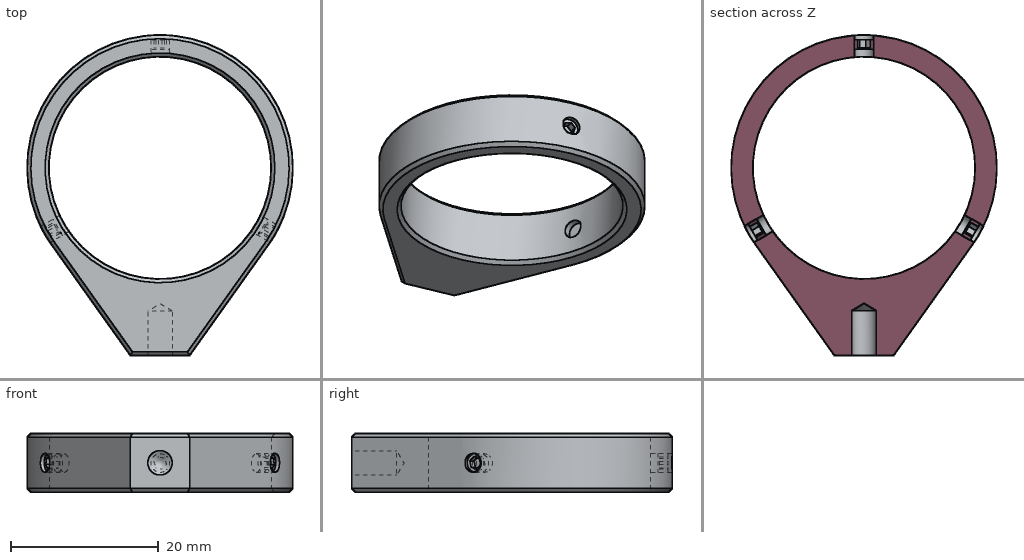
import cadquery as cq
import math

outer_radius = 17.99
bore_radius = 15.0
height = 8.0
edge_chamfer = 0.5

total_length = 43.4
foot_width = 8.0
foot_y = outer_radius - total_length

mount_hole_diameter = 3.3
mount_hole_depth = 6.08
drill_tip_angle = 118

first_screw_angle = 90
screw_diameter = 2.5
screw_inner_radius = 16.0
screw_outer_radius = 17.35
socket_across_flats = 1.5
socket_depth = 1.15
socket_turns = [13, 13, -16]
screw_count = len(socket_turns)


def point_on_rim(angle):
    """Point on the outer circle at an angle in radians."""
    return outer_radius * math.cos(angle), outer_radius * math.sin(angle)


def make_body_blank():
    """Round ring with flanks tangent to it that run down to the foot, chamfered all round."""
    half_foot = foot_width / 2
    corner_distance = math.hypot(half_foot, foot_y)
    corner_angle = math.atan2(foot_y, half_foot)
    tangent_angle = corner_angle + math.acos(outer_radius / corner_distance)
    tangent_x, tangent_y = point_on_rim(tangent_angle)
    return (
        cq.Workplane("XY")
        .workplane(offset=-height / 2)
        .moveTo(-half_foot, foot_y)
        .lineTo(half_foot, foot_y)
        .lineTo(tangent_x, tangent_y)
        .threePointArc((0, outer_radius), (-tangent_x, tangent_y))
        .close()
        .extrude(height)
        .cut(cq.Workplane("XY").circle(bore_radius).extrude(height, both=True))
        .faces("|Z")
        .edges()
        .chamfer(edge_chamfer)
    )


def make_mount_hole():
    """Drilled hole with a conical bottom, entering the foot along +Y."""
    radius = mount_hole_diameter / 2
    tip_length = radius / math.tan(math.radians(drill_tip_angle / 2))
    hole_end_y = foot_y + mount_hole_depth
    return (
        cq.Workplane("XY")
        .moveTo(0, foot_y)
        .lineTo(radius, foot_y)
        .lineTo(radius, hole_end_y)
        .lineTo(0, hole_end_y + tip_length)
        .close()
        .revolve(360, (0, 0, 0), (0, 1, 0))
    )


def screw_angles():
    """Angles of the set screws in degrees from +X."""
    return [first_screw_angle + i * 360 / screw_count for i in range(screw_count)]


def make_screw_hole(angle):
    """Radial hole through the ring wall, from the axis outwards."""
    hole = cq.Workplane("YZ").circle(screw_diameter / 2).extrude(outer_radius)
    return hole.rotate((0, 0, 0), (0, 0, 1), angle)


def make_housing():
    """Ring and foot with the mounting hole and the set screw holes."""
    body = make_body_blank().cut(make_mount_hole())
    for angle in screw_angles():
        body = body.cut(make_screw_hole(angle))
    return body


def make_set_screw(angle, socket_turn):
    """Headless screw with a hexagon socket in its outer end."""
    socket_across_corners = socket_across_flats / math.cos(math.pi / 6)
    socket = (
        cq.Workplane("YZ")
        .workplane(offset=screw_outer_radius - socket_depth)
        .transformed(rotate=(0, 0, socket_turn))
        .polygon(6, socket_across_corners)
        .extrude(socket_depth)
    )
    screw = (
        cq.Workplane("YZ")
        .workplane(offset=screw_inner_radius)
        .circle(screw_diameter / 2)
        .extrude(screw_outer_radius - screw_inner_radius)
        .cut(socket)
    )
    return screw.rotate((0, 0, 0), (0, 0, 1), angle)


housing = make_housing()
set_screws = [make_set_screw(angle, turn) for angle, turn in zip(screw_angles(), socket_turns)]

result = cq.Compound.makeCompound([housing.val(), *[screw.val() for screw in set_screws]])